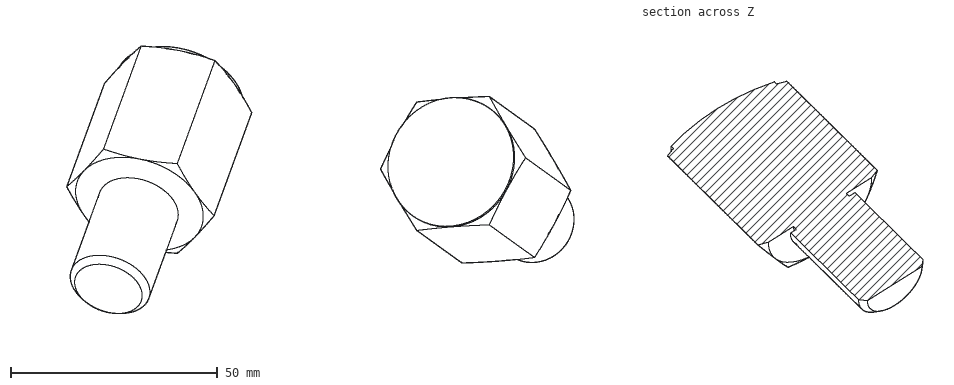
import cadquery as cq
import math

across_flats = 32.0
head_length = 40.0
hex_length = 37.0
dome_radius = 60.0
corner_angle = 20.0
stud_diameter = 20.0
stud_length = 29.0
stud_chamfer = 1.53
neck_diameter = 16.4
neck_length = 1.0

collar_radius = across_flats / 2
across_corners = across_flats / math.cos(math.pi / 6)
dome_rise = dome_radius - math.sqrt(dome_radius**2 - collar_radius**2)
dome_start = head_length - dome_rise


def cylinder_along_y(diameter, start, length):
    """Round bar on the Y axis, running from start towards +Y."""
    plane = cq.Workplane("XZ", origin=(0, start, 0))
    return plane.circle(diameter / 2).extrude(-length)


def make_hexagon():
    """Hexagonal prism, corners on +/-X, with both ends trimmed by cones."""
    prism = cq.Workplane("XZ").polygon(6, across_corners).extrude(-hex_length)
    outer_radius = across_corners - collar_radius
    outer_trim = (outer_radius - collar_radius) * math.tan(math.radians(corner_angle))
    trimmer = (
        cq.Workplane("XY")
        .lineTo(collar_radius, 0)
        .lineTo(outer_radius, outer_trim)
        .lineTo(outer_radius, hex_length - outer_trim)
        .lineTo(collar_radius, hex_length)
        .lineTo(0, hex_length)
        .close()
        .revolve(360, (0, 0, 0), (0, 1, 0))
    )
    return prism.intersect(trimmer)


def make_domed_collar():
    """Short round collar on the hexagon, closed by a shallow spherical dome."""
    half_radius = collar_radius / 2
    arc_middle = head_length - dome_radius + math.sqrt(dome_radius**2 - half_radius**2)
    return (
        cq.Workplane("XY")
        .moveTo(0, hex_length)
        .lineTo(collar_radius, hex_length)
        .lineTo(collar_radius, dome_start)
        .threePointArc((half_radius, arc_middle), (0, head_length))
        .close()
        .revolve(360, (0, 0, 0), (0, 1, 0))
    )


def make_stud():
    """Plain stud with a chamfered tip, joined to the head by a narrower neck."""
    neck = cylinder_along_y(neck_diameter, -neck_length, neck_length)
    shank = cylinder_along_y(stud_diameter, -stud_length, stud_length - neck_length)
    shank = shank.faces("<Y").chamfer(stud_chamfer)
    return shank.union(neck)


result = make_hexagon().union(make_domed_collar()).union(make_stud())